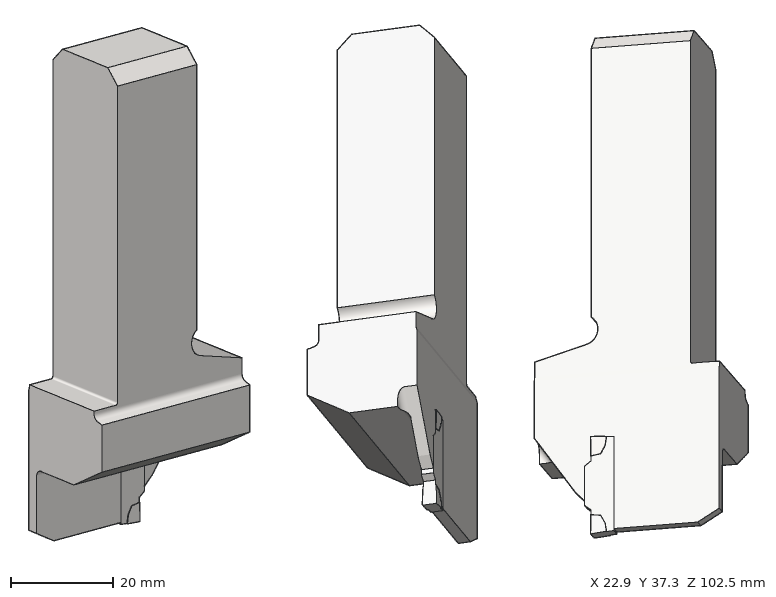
import cadquery as cq
import math

shank_size = 20.0
total_height = 102.5
shank_end_chamfer = 3.0

blade_offset = 0.25
blade_thickness = 2.5
cheek_reach = 2.39
cheek_bottom_z = 16.5
cheek_side_bottom_z = 21.5
cheek_side_top_z = 31.25
cheek_relief_angle = 30.0
step_top_z = 33.1
step_angle = 15.0
blade_root_radius = 1.3
cheek_top_slope = 15.0
cheek_top_radius = 1.3

head_front_y = -5.9
head_length = 37.32
ledge_z = 33.5
ledge_fillet = 0.5
blade_bottom_z = 0.8
nose_width = 4.33
nose_angle = 30.0
back_slope_angle = 15.0
back_slope_low_z = 36.2
notch_radius = 3.1
notch_depth = 1.33

relief_start_z = 20.5
relief_bend_y = 23.3
relief_bend_z = 9.0
relief_root_radius = 1.5

insert_back_y = 15.35
insert_length = 20.0
insert_clearance_angle = 5.0
bridge_height = 1.3
bridge_low_z = 6.0
bridge_foot_z = 5.0
tip_overhang = 0.25
tip_root_overhang = 0.1
tip_land = 0.4
tip_corner_radius = 0.2
tip_flank = [(0.0, 4.0), (2.0, 3.7), (2.9, 2.1)]
tip_length = 3.2

blade_left = -blade_offset
blade_right = blade_left + blade_thickness
cheek_right = shank_size + cheek_reach
head_back_y = head_front_y + head_length
rake_y = shank_size


def tan_deg(angle):
    return math.tan(math.radians(angle))


def sin_deg(angle):
    return math.sin(math.radians(angle))


def cos_deg(angle):
    return math.cos(math.radians(angle))


def extrude_along_x(profile, x_start, x_end):
    """Extrude between two X positions the (Y, Z) outline that profile draws on a plane."""
    return profile(cq.Workplane("YZ").workplane(offset=x_start)).close().extrude(x_end - x_start)


def holder_front_outline():
    """XZ outline: shank, stepped blade and cheek, extruded over the whole head length."""
    step_bottom_z = step_top_z - blade_offset / tan_deg(step_angle)
    cheek_slope_run = (cheek_side_bottom_z - cheek_bottom_z) / tan_deg(cheek_relief_angle)

    fillet_x = shank_size + cheek_top_radius
    slope_z = cheek_side_top_z + (cheek_right - fillet_x) * tan_deg(cheek_top_slope)
    fillet_z = slope_z + cheek_top_radius / cos_deg(cheek_top_slope)

    def fillet_point(angle):
        return (fillet_x + cheek_top_radius * cos_deg(angle), fillet_z + cheek_top_radius * sin_deg(angle))

    end_angle = 270 - cheek_top_slope
    root = blade_root_radius
    root_mid = root * (1 - cos_deg(45))
    return (
        cq.Workplane("XZ", origin=(0, head_back_y, 0))
        .moveTo(0, total_height)
        .lineTo(0, step_top_z)
        .lineTo(blade_left, step_bottom_z)
        .lineTo(blade_left, blade_bottom_z)
        .lineTo(blade_right, blade_bottom_z)
        .lineTo(blade_right, cheek_bottom_z - root)
        .threePointArc(
            (blade_right + root_mid, cheek_bottom_z - root_mid),
            (blade_right + root, cheek_bottom_z),
        )
        .lineTo(cheek_right - cheek_slope_run, cheek_bottom_z)
        .lineTo(cheek_right, cheek_side_bottom_z)
        .lineTo(cheek_right, cheek_side_top_z)
        .lineTo(*fillet_point(end_angle))
        .threePointArc(fillet_point((180 + end_angle) / 2), fillet_point(180))
        .lineTo(shank_size, total_height)
        .close()
        .extrude(head_length)
        .edges("|Y and >Z")
        .chamfer(shank_end_chamfer)
    )


def holder_side_outline():
    """YZ outline: shank, front ledge, chamfered nose, sloped back and round notch."""
    notch_y = shank_size - notch_depth + notch_radius
    slope_z = back_slope_low_z + (head_back_y - notch_y) * tan_deg(back_slope_angle)
    notch_z = slope_z + notch_radius / cos_deg(back_slope_angle)

    def notch_point(angle):
        return (notch_y + notch_radius * cos_deg(angle), notch_z + notch_radius * sin_deg(angle))

    notch_start = 270 - back_slope_angle
    notch_end = math.degrees(math.acos((shank_size - notch_y) / notch_radius))
    nose_top_z = blade_bottom_z + nose_width * tan_deg(nose_angle)

    def profile(plane):
        return (
            plane.moveTo(0, total_height)
            .lineTo(0, ledge_z + ledge_fillet)
            .threePointArc(
                (-ledge_fillet * (1 - cos_deg(45)), ledge_z + ledge_fillet * (1 - sin_deg(45))),
                (-ledge_fillet, ledge_z),
            )
            .lineTo(head_front_y, ledge_z)
            .lineTo(head_front_y, nose_top_z)
            .lineTo(head_front_y + nose_width, blade_bottom_z)
            .lineTo(head_back_y, blade_bottom_z)
            .lineTo(head_back_y, back_slope_low_z)
            .lineTo(*notch_point(notch_start))
            .threePointArc(notch_point(180), notch_point(notch_end))
            .lineTo(shank_size, total_height)
        )

    return extrude_along_x(profile, blade_left, cheek_right)


def blade_relief():
    """Material removed behind the blade: a two-slope cut with a rounded root in the cheek."""
    def profile(plane):
        foot_z = relief_bend_z - (relief_bend_y - rake_y)
        return (
            plane.moveTo(head_back_y, relief_start_z)
            .lineTo(relief_bend_y, relief_bend_z)
            .lineTo(rake_y, foot_z)
            .lineTo(rake_y, 0)
            .lineTo(head_back_y, 0)
        )

    relief = extrude_along_x(profile, blade_left, blade_right + relief_root_radius)
    slope_middle = (blade_right, (head_back_y + relief_bend_y) / 2, (relief_start_z + relief_bend_z) / 2)
    slope_face = relief.faces(cq.selectors.NearestToPointSelector(slope_middle))
    return slope_face.edges(">X").fillet(relief_root_radius)


def mirrored_in_z(points):
    """The same points at the opposite end of the insert, in reverse order."""
    return [(y, insert_length - z) for y, z in reversed(points)]


def make_insert_body():
    """Bar filling the blade thickness, with a raised bridge between the two rake faces."""
    back_z = (rake_y - insert_back_y) * tan_deg(insert_clearance_angle)
    lower_half = [
        (insert_back_y, back_z),
        (rake_y, 0),
        (rake_y, bridge_foot_z),
        (rake_y + bridge_height, bridge_low_z),
    ]

    def profile(plane):
        return plane.polyline(lower_half + mirrored_in_z(lower_half))

    return extrude_along_x(profile, blade_left, blade_right)


def make_insert_tip():
    """Lower cutting tip, wider than the bar and widest at a narrow land along its cutting edge."""
    flank_top_z = tip_flank[0][1]
    flank = [(rake_y - depth, height) for depth, height in tip_flank]
    clearance_corner = (rake_y - tip_length, tip_length * tan_deg(insert_clearance_angle))
    outline = flank + [clearance_corner, (rake_y, 0)]

    def profile(plane):
        return plane.polyline(outline)

    tip_left = blade_left - tip_overhang
    tip_right = blade_right + tip_overhang
    root_left = blade_left - tip_root_overhang
    root_right = blade_right + tip_root_overhang
    taper = (
        cq.Workplane("XZ", origin=(0, rake_y, 0))
        .moveTo(tip_left, 0)
        .lineTo(tip_right, 0)
        .lineTo(tip_right, tip_land)
        .lineTo(root_right, flank_top_z)
        .lineTo(root_left, flank_top_z)
        .lineTo(tip_left, tip_land)
        .close()
        .extrude(tip_length)
        .edges("|Y and <Z")
        .fillet(tip_corner_radius)
    )
    return extrude_along_x(profile, tip_left, tip_right).intersect(taper)


def make_insert():
    lower_tip = make_insert_tip()
    upper_tip = lower_tip.mirror("XY", (0, 0, insert_length / 2))
    return make_insert_body().union(lower_tip).union(upper_tip)


def make_holder(insert):
    blank = holder_front_outline().intersect(holder_side_outline())
    return blank.cut(blade_relief()).cut(insert)


insert = make_insert()
holder = make_holder(insert)
result = cq.Compound.makeCompound([holder.val(), insert.val()])